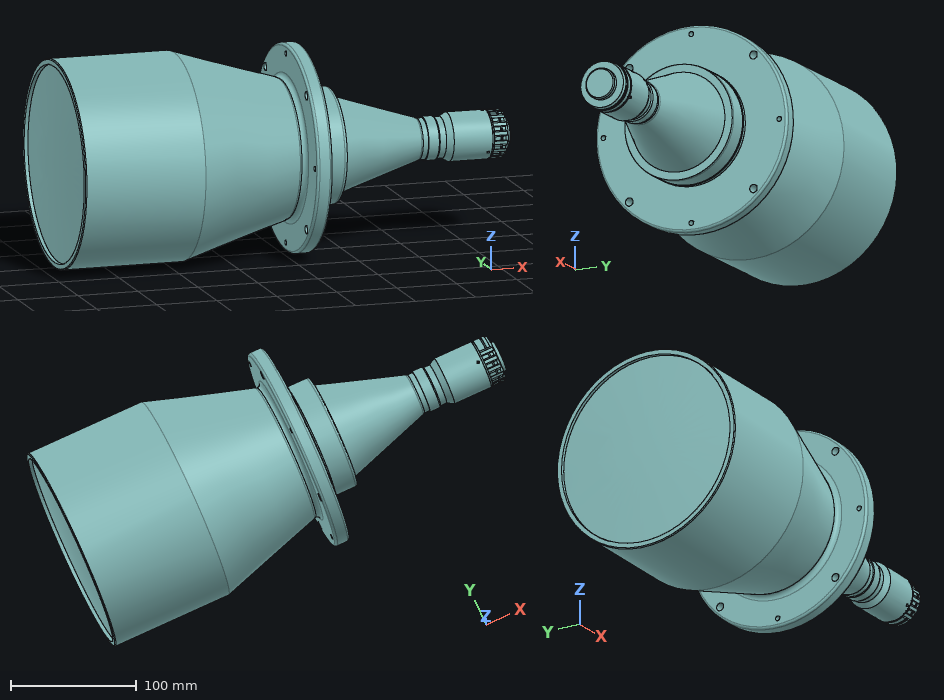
import cadquery as cq
import math

total_length = 376.91

barrel_radius = 84.5
barrel_end_x = 100.0
rim_chamfer = 0.8
seat_radius = 79.8
lens_recess = 3.2
lens_edge_thickness = 10.0
lens_sag = 2.5

front_cone_end_x = 187.2
front_cone_end_radius = 57.4
front_neck_x = 188.8
front_neck_radius = 56.5

flange_x = 193.0
neck_fillet = flange_x - front_neck_x
flange_thickness = 12.7
flange_radius = barrel_radius
flange_edge_fillet = 2.0
flange_hole_circle_radius = 77.2
flange_hole_count = 4
mounting_hole_diameter = 6.6
dowel_hole_diameter = 4.0

hub_radius = 47.5
hub_end_x = 229.5
hub_groove_x = 209.0
hub_groove_width = 1.2
hub_groove_depth = 0.3
hub_lip_width = 2.0
hub_lip_drop = 0.3

rear_cone_start_radius = 40.7
rear_cone_end_x = 301.0
rear_cone_end_radius = 17.5
slim_neck_x = 302.4
slim_neck_radius = 16.8
collar_start_x = 306.8
collar_end_x = 315.4
collar_radius = 17.9
flare_start_x = 321.8

sleeve_x = 327.2
sleeve_radius = 20.0
sleeve_end_x = 359.6
set_screw_x = 356.5
set_screw_diameter = 2.0
set_screw_depth = 4.0
first_set_screw_angle = 93.0
set_screw_count = 3

ring_gap = 1.4
ring_gap_depth = 1.0
ring_end_x = 372.6
ring_chamfer_length = 2.2
ring_chamfer_drop = 1.2
ring_groove_x = 366.5
ring_groove_width = 1.2
ring_groove_depth = 0.6
flute_pitch_angle = 22.5
first_flute_angle = 77.5
flute_count = 8
flute_floor_width = 2.8
flute_mouth_width = 5.2
flute_depth = 0.9

groove_clearance = 1.0

spigot_radius = 25.4 / 2
spigot_chamfer = 1.0


def point_at(radius, angle):
    """Y and Z of a point around the optical axis."""
    return (
        radius * math.cos(math.radians(angle)),
        radius * math.sin(math.radians(angle)),
    )


def along_axis(x, points, diameter, length):
    """Round pins along +X, placed by their Y and Z."""
    return cq.Workplane("YZ", origin=(x, 0, 0)).pushPoints(points).circle(diameter / 2).extrude(length)


def groove(x, width, outer_radius, depth):
    """Ring that cuts a groove around a cylinder."""
    return (
        cq.Workplane("YZ", origin=(x, 0, 0))
        .circle(outer_radius + groove_clearance)
        .circle(outer_radius - depth)
        .extrude(width)
    )


def make_turned_body():
    """Outer outline of the housing, revolved about X."""
    flange_end_x = flange_x + flange_thickness
    fillet_top = front_neck_radius + neck_fillet
    edge = flange_edge_fillet
    diagonal = math.sqrt(0.5)
    fillet_middle = (
        flange_x - neck_fillet * (1 - diagonal),
        front_neck_radius + neck_fillet * (1 - diagonal),
    )
    edge_inset = edge * (1 - diagonal)
    outline = (
        cq.Workplane("XZ")
        .moveTo(0, 0)
        .lineTo(0, barrel_radius - rim_chamfer)
        .lineTo(rim_chamfer, barrel_radius)
        .lineTo(barrel_end_x, barrel_radius)
        .lineTo(front_cone_end_x, front_cone_end_radius)
        .lineTo(front_neck_x, front_neck_radius)
        .threePointArc(fillet_middle, (flange_x, fillet_top))
        .lineTo(flange_x, flange_radius - edge)
        .threePointArc(
            (flange_x + edge_inset, flange_radius - edge_inset),
            (flange_x + edge, flange_radius),
        )
        .lineTo(flange_end_x - edge, flange_radius)
        .threePointArc(
            (flange_end_x - edge_inset, flange_radius - edge_inset),
            (flange_end_x, flange_radius - edge),
        )
        .lineTo(flange_end_x, hub_radius)
        .lineTo(hub_end_x - hub_lip_width, hub_radius)
        .lineTo(hub_end_x, hub_radius - hub_lip_drop)
        .lineTo(hub_end_x, rear_cone_start_radius)
        .lineTo(rear_cone_end_x, rear_cone_end_radius)
        .lineTo(slim_neck_x, slim_neck_radius)
        .lineTo(collar_start_x, slim_neck_radius)
        .lineTo(collar_start_x, collar_radius)
        .lineTo(collar_end_x, collar_radius)
        .lineTo(collar_end_x + collar_radius - slim_neck_radius, slim_neck_radius)
        .lineTo(flare_start_x, slim_neck_radius)
        .lineTo(sleeve_x, sleeve_radius)
        .lineTo(ring_end_x - ring_chamfer_length, sleeve_radius)
        .lineTo(ring_end_x, sleeve_radius - ring_chamfer_drop)
        .lineTo(ring_end_x, spigot_radius)
        .lineTo(total_length - spigot_chamfer, spigot_radius)
        .lineTo(total_length, spigot_radius - spigot_chamfer)
        .lineTo(total_length, 0)
        .close()
    )
    return outline.revolve(360, (0, 0, 0), (1, 0, 0))


def make_flange_holes():
    """Through holes in the flange: mounting holes with dowel holes midway between them."""
    radius = flange_hole_circle_radius
    pitch = 360 / flange_hole_count
    mounting_points = [point_at(radius, pitch * (i + 0.5)) for i in range(flange_hole_count)]
    dowel_points = [point_at(radius, pitch * i) for i in range(flange_hole_count)]
    mounting_holes = along_axis(flange_x, mounting_points, mounting_hole_diameter, flange_thickness)
    dowel_holes = along_axis(flange_x, dowel_points, dowel_hole_diameter, flange_thickness)
    return mounting_holes.union(dowel_holes)


def make_set_screw_hole(angle):
    """Blind radial hole in the camera sleeve."""
    y, z = point_at(1.0, angle)
    floor = sleeve_radius - set_screw_depth
    return cq.Workplane(
        cq.Solid.makeCylinder(
            set_screw_diameter / 2,
            2 * set_screw_depth,
            cq.Vector(set_screw_x, floor * y, floor * z),
            cq.Vector(0, y, z),
        )
    )


def make_flute(angle):
    """Grip slot with sloping sides that runs out of the rear face of the grip ring."""
    start_x = sleeve_end_x + ring_gap
    side_slope = (flute_mouth_width - flute_floor_width) / 2 / flute_depth
    half_floor = flute_floor_width / 2
    floor = sleeve_radius - flute_depth
    cut_height = 2 * flute_depth
    half_top = half_floor + side_slope * cut_height
    section = [
        (floor, -half_floor),
        (floor + cut_height, -half_top),
        (floor + cut_height, half_top),
        (floor, half_floor),
    ]
    return (
        cq.Workplane("YZ", origin=(start_x, 0, 0))
        .polyline(section)
        .close()
        .extrude(ring_end_x - start_x)
        .rotate((0, 0, 0), (1, 0, 0), angle)
    )


def make_housing():
    body = make_turned_body()
    seat_depth = lens_recess + lens_edge_thickness
    body = body.cut(cq.Workplane("YZ").circle(seat_radius).extrude(seat_depth))
    body = body.cut(groove(hub_groove_x, hub_groove_width, hub_radius, hub_groove_depth))
    body = body.cut(groove(sleeve_end_x, ring_gap, sleeve_radius, ring_gap_depth))
    body = body.cut(groove(ring_groove_x, ring_groove_width, sleeve_radius, ring_groove_depth))
    body = body.cut(make_flange_holes())
    for i in range(set_screw_count):
        body = body.cut(make_set_screw_hole(first_set_screw_angle + i * 360 / set_screw_count))
    for i in range(flute_count):
        body = body.cut(make_flute(first_flute_angle + i * flute_pitch_angle))
    return body


def make_front_lens():
    """Plano-convex lens that fills the seat, its dome facing -X."""
    back_x = lens_recess + lens_edge_thickness
    apex_x = lens_recess - lens_sag
    dome_radius = (seat_radius**2 + lens_sag**2) / (2 * lens_sag)
    half_height = seat_radius / 2
    half_x = apex_x + dome_radius - math.sqrt(dome_radius**2 - half_height**2)
    return (
        cq.Workplane("XY")
        .moveTo(apex_x, 0)
        .threePointArc((half_x, half_height), (lens_recess, seat_radius))
        .lineTo(back_x, seat_radius)
        .lineTo(back_x, 0)
        .close()
        .revolve(360, (0, 0, 0), (1, 0, 0))
    )


housing = make_housing()
front_lens = make_front_lens()

result = cq.Compound.makeCompound([housing.val(), front_lens.val()])